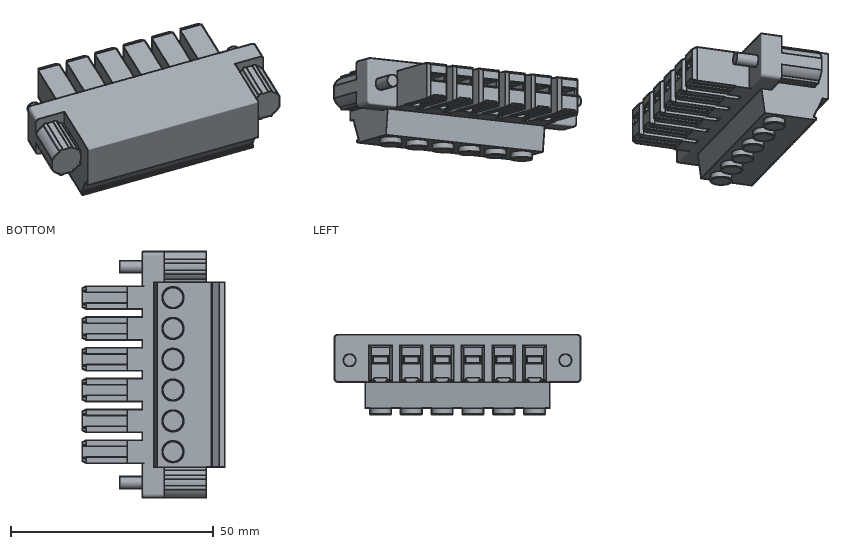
import cadquery as cq
import math


overall_length = 35.3
overall_width = 60.9
overall_height = 19.8

pole_count = 6
pole_pitch = 7.6
pole_offsets = [(i - (pole_count - 1) / 2) * pole_pitch for i in range(pole_count)]

flange_front = 14.85
flange_back = 20.3
flange_bottom = 8.05
flange_corner_radius = 1.0
flange_front_radius = 0.4

body_width = pole_count * pole_pitch
body_bottom = 1.65
body_edge_radius = 0.35
body_step_z = 7.7
body_step_x = 33.85
lower_front_top_x = 17.7
lower_front_bottom_x = 18.6
hook_x = 32.15
hook_neck_x = 31.55
hook_neck_z = 2.7
hook_top_z = 2.4
hook_corner = 0.25

plug_width = 5.7
plug_top = 17.2
plug_bottom = 8.2
plug_tip_length = 1.1
plug_tip_inset = 0.55
plug_tip_bottom_inset = 0.4
plug_root_x = 11.2

window_z = 13.6
window_width = 3.5
window_height = 1.45
window_lead_in = 0.3
window_depth = 4.9

groove_height = 0.9
groove_half_width = 1.75
groove_mouth_half_width = 1.3
groove_corner = 0.35

button_x = 22.5
button_diameter = 5.35
button_edge = 0.2

screw_inset = 3.8
screw_y = overall_width / 2 - screw_inset
screw_z = 13.45
shank_diameter = 3.05
shank_tip_x = 9.3
head_radius = 4.1
head_end_x = 30.75
rib_radius = 0.55
rib_center_radius = 3.9
rib_spacing = 38.0
head_overlap = 0.6


def block(x_min, x_max, y_min, y_max, z_min, z_max):
    """Axis-aligned box given by its limits."""
    return (
        cq.Workplane("XY")
        .box(x_max - x_min, y_max - y_min, z_max - z_min, centered=False)
        .translate((x_min, y_min, z_min))
    )


def centered_block(x_min, x_max, width, z_min, z_max):
    """Box spread evenly to both sides of Y = 0."""
    return block(x_min, x_max, -width / 2, width / 2, z_min, z_max)


def rod(x_min, x_max, y, z, radius):
    """Cylinder along X."""
    return cq.Workplane("YZ", origin=(x_min, 0, 0)).center(y, z).circle(radius).extrude(x_max - x_min)


def make_flange():
    plate = centered_block(flange_front, flange_back, overall_width, flange_bottom, overall_height)
    plate = plate.edges("|X").fillet(flange_corner_radius)
    plate = plate.faces("<X").edges().fillet(flange_front_radius)
    row_width = (pole_count - 1) * pole_pitch + plug_width
    edge_top = flange_bottom + flange_corner_radius
    square_edge = centered_block(flange_front, flange_back, row_width, flange_bottom, edge_top)
    return plate.union(square_edge)


def make_body():
    profile = [
        (flange_back, overall_height),
        (overall_length, overall_height),
        (overall_length, body_step_z),
        (body_step_x, body_step_z),
        (hook_neck_x, hook_neck_z),
        (hook_neck_x, hook_top_z),
        (hook_x - hook_corner, hook_top_z),
        (hook_x, hook_top_z - hook_corner),
        (hook_x, body_bottom + hook_corner),
        (hook_x - hook_corner, body_bottom),
        (lower_front_bottom_x, body_bottom),
        (lower_front_top_x, flange_bottom),
        (flange_back, flange_bottom),
    ]
    body = cq.Workplane("XZ").polyline(profile).close().extrude(body_width / 2, both=True)
    return body.faces(">X").edges("|Y").fillet(body_edge_radius)


def make_plug():
    """One plug centred on Y = 0, reaching into the flange."""
    tip_width = plug_width - 2 * plug_tip_inset
    tip_top = plug_top - plug_tip_inset
    tip_bottom = plug_bottom + plug_tip_bottom_inset
    tip = (
        cq.Workplane("YZ")
        .center(0, (tip_top + tip_bottom) / 2)
        .rect(tip_width, tip_top - tip_bottom)
        .workplane(offset=plug_tip_length)
        .center(0, (plug_top + plug_bottom - tip_top - tip_bottom) / 2)
        .rect(plug_width, plug_top - plug_bottom)
        .loft(ruled=True)
    )
    shaft = centered_block(plug_tip_length, flange_back, plug_width, plug_bottom, plug_top)
    root = centered_block(plug_root_x, flange_back, plug_width, flange_bottom, plug_top)
    plug = tip.union(shaft).union(root)

    window = (
        cq.Workplane("YZ", origin=(0, 0, window_z))
        .rect(window_width, window_height)
        .extrude(window_depth)
    )
    lead_in = (
        cq.Workplane("YZ", origin=(0, 0, window_z))
        .rect(window_width + 2 * window_lead_in, window_height + 2 * window_lead_in)
        .workplane(offset=window_lead_in)
        .rect(window_width, window_height)
        .loft(ruled=True)
    )

    groove_top = plug_bottom + groove_height
    right_half = [
        (groove_mouth_half_width, plug_bottom),
        (groove_half_width, plug_bottom + groove_corner),
        (groove_half_width, groove_top - groove_corner),
        (groove_half_width - groove_corner, groove_top),
    ]
    left_half = [(-y, z) for y, z in reversed(right_half)]
    groove = cq.Workplane("YZ").polyline(right_half + left_half).close().extrude(plug_root_x)
    return plug.cut(window).cut(lead_in).cut(groove)


def make_button():
    """One release button centred on Y = 0, standing out below the body."""
    button = cq.Workplane("XY").center(button_x, 0).circle(button_diameter / 2).extrude(flange_bottom)
    return button.faces("<Z").chamfer(button_edge)


def make_screw():
    """The screw on the +Y side."""
    shank = rod(shank_tip_x, flange_back, screw_y, screw_z, shank_diameter / 2)
    head = rod(flange_back, head_end_x, screw_y, screw_z, head_radius)
    for step in (-0.5, 0.5, 1.5):
        angle = math.radians(step * rib_spacing)
        rib_y = screw_y - rib_center_radius * math.sin(angle)
        rib_rise = rib_center_radius * math.cos(angle)
        for rib_z in (screw_z + rib_rise, screw_z - rib_rise):
            head = head.union(rod(flange_back, head_end_x, rib_y, rib_z, rib_radius))
    inner_y = body_width / 2 - head_overlap
    outer_y = overall_width / 2
    room = block(flange_back, head_end_x, inner_y, outer_y, body_bottom, overall_height)
    return shank.union(head.intersect(room))


result = make_flange().union(make_body())

plug = make_plug()
button = make_button()
for offset in pole_offsets:
    result = result.union(plug.translate((0, offset, 0)))
    result = result.union(button.translate((0, offset, 0)))

screw = make_screw()
result = result.union(screw).union(screw.mirror("XZ"))